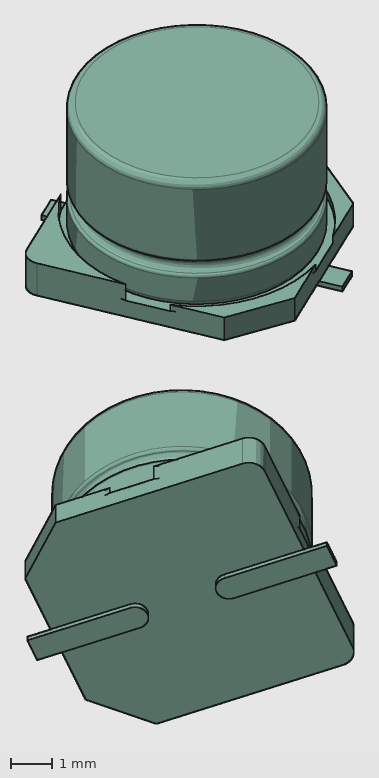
import cadquery as cq
import math

lead_thickness = 0.15
lead_width = 0.65
lead_span = 7.8
lead_gap = 1.8

base_size = 6.6
base_height = 1.0
base_corner_radius = 0.42
base_chamfer = 1.32
corner_drop = 0.3
base_bottom = lead_thickness
base_top = base_bottom + base_height

pocket_radius = 3.35
pocket_depth = 0.5
pocket_floor = base_top - pocket_depth

total_height = 4.5
can_radius = 6.3 / 2
rim_radius = 0.2
groove_radius = 0.2
groove_lip_radius = 0.1
groove_height_on_can = 1.2
groove_z = pocket_floor + groove_height_on_can


def make_base():
    base = cq.Workplane("XY").box(base_size, base_size, base_height, centered=(True, True, False))
    base = base.edges("|Z and <X").fillet(base_corner_radius)
    base = base.edges("|Z and >X").chamfer(base_chamfer)
    base = base.translate((0, 0, base_bottom))

    step = (
        cq.Workplane("XY", origin=(0, 0, base_top - corner_drop))
        .box(base_size, base_size, corner_drop, centered=(False, True, False))
    )
    pocket = (
        cq.Workplane("XY", origin=(0, 0, pocket_floor))
        .circle(pocket_radius)
        .extrude(pocket_depth)
    )
    return base.cut(step).cut(pocket)


def make_can():
    lip_offset = math.sqrt((groove_radius + groove_lip_radius) ** 2 - groove_lip_radius ** 2)
    tangent_share = groove_radius / (groove_radius + groove_lip_radius)
    tangent_offset = lip_offset * tangent_share
    tangent_radius = can_radius - groove_lip_radius * tangent_share
    lower_tangent = (tangent_radius, groove_z - tangent_offset)
    upper_tangent = (tangent_radius, groove_z + tangent_offset)

    lip_sweep = math.acos(groove_lip_radius / (groove_radius + groove_lip_radius))
    lip_center_radius = can_radius - groove_lip_radius
    lip_mid_radius = lip_center_radius + groove_lip_radius * math.cos(lip_sweep / 2)
    lip_mid_offset = lip_offset - groove_lip_radius * math.sin(lip_sweep / 2)

    rim_inset = rim_radius * (1 - math.sqrt(0.5))
    rim_start_radius = can_radius - rim_radius
    rim_mid_radius = can_radius - rim_inset

    profile = (
        cq.Workplane("XZ")
        .moveTo(0, pocket_floor)
        .lineTo(rim_start_radius, pocket_floor)
        .threePointArc((rim_mid_radius, pocket_floor + rim_inset), (can_radius, pocket_floor + rim_radius))
        .lineTo(can_radius, groove_z - lip_offset)
        .threePointArc((lip_mid_radius, groove_z - lip_mid_offset), lower_tangent)
        .threePointArc((can_radius - groove_radius, groove_z), upper_tangent)
        .threePointArc((lip_mid_radius, groove_z + lip_mid_offset), (can_radius, groove_z + lip_offset))
        .lineTo(can_radius, total_height - rim_radius)
        .threePointArc((rim_mid_radius, total_height - rim_inset), (rim_start_radius, total_height))
        .lineTo(0, total_height)
        .close()
    )
    return profile.revolve(360, (0, 0, 0), (0, 1, 0))


def make_lead(side):
    """Return one lead; side is -1 for the -X lead and +1 for the +X lead."""
    half_width = lead_width / 2
    outer_x = side * lead_span / 2
    inner_x = side * lead_gap / 2
    arc_start_x = inner_x + side * half_width
    return (
        cq.Workplane("XY")
        .moveTo(outer_x, -half_width)
        .lineTo(arc_start_x, -half_width)
        .threePointArc((inner_x, 0), (arc_start_x, half_width))
        .lineTo(outer_x, half_width)
        .close()
        .extrude(lead_thickness)
    )


result = make_base().union(make_can())
for lead_side in (-1, 1):
    result = result.union(make_lead(lead_side))